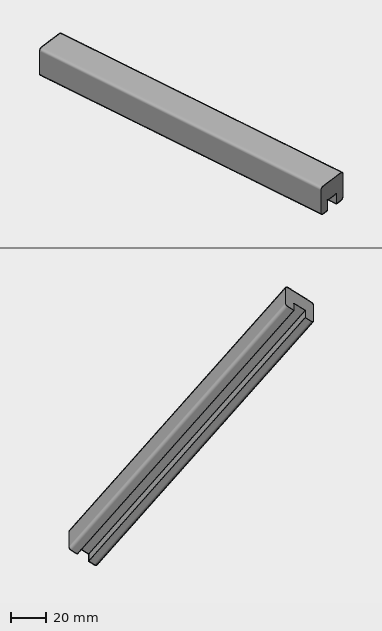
import cadquery as cq

length = 206.0
side = 20.0
corner_radius = 2.0

slot_width = 8.0
slot_depth = 7.5

bar = cq.Workplane("XY").box(length, side, side).edges("|X").fillet(corner_radius)

slot = (
    cq.Workplane("XY")
    .box(length, slot_width, slot_depth, centered=(True, True, False))
    .translate((0, 0, -side / 2))
)

result = bar.cut(slot)